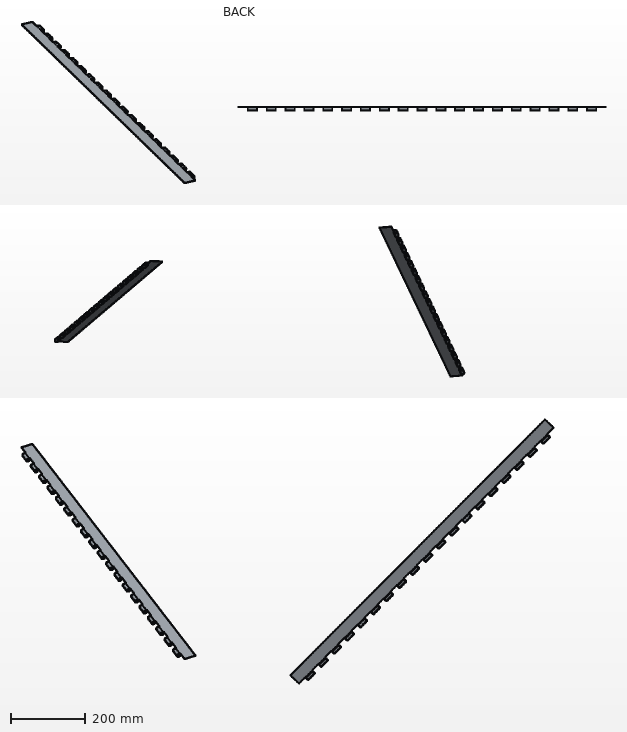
import cadquery as cq

INCH = 25.4
length = 39 * INCH
knuckle_length = 1 * INCH
knuckle_pitch = 2 * knuckle_length
knuckle_count = 19
pin_to_edge = 1.5 * INCH
sheet_thickness = 0.09 * INCH
barrel_diameter = 10.912

barrel_radius = barrel_diameter / 2
bore_radius = barrel_radius - sheet_thickness
slot_bottom_y = -barrel_radius
sheet_bottom_z = barrel_radius - sheet_thickness
knuckle_row_length = (knuckle_count - 1) * knuckle_pitch + knuckle_length
first_knuckle_x = (length - knuckle_row_length) / 2


def sheet(x_start, x_size, y_start, y_end):
    """Rectangle of flat sheet whose top face is tangent to the barrels."""
    return (
        cq.Workplane("XY", origin=(x_start, y_start, sheet_bottom_z))
        .box(x_size, y_end - y_start, sheet_thickness, centered=False)
    )


def knuckle(x_start):
    """Rolled barrel with its pin bore, and the tab that joins it to the leaf."""
    barrel = (
        cq.Workplane("YZ", origin=(x_start, 0, 0))
        .circle(barrel_radius)
        .extrude(knuckle_length)
    )
    tab = sheet(x_start, knuckle_length, slot_bottom_y, 0)
    bore = (
        cq.Workplane("YZ", origin=(x_start, 0, 0))
        .circle(bore_radius)
        .extrude(knuckle_length)
    )
    return barrel.union(tab).cut(bore)


leaf = sheet(0, length, -pin_to_edge, slot_bottom_y)
for index in range(knuckle_count):
    leaf = leaf.union(knuckle(first_knuckle_x + index * knuckle_pitch))

result = leaf.clean()